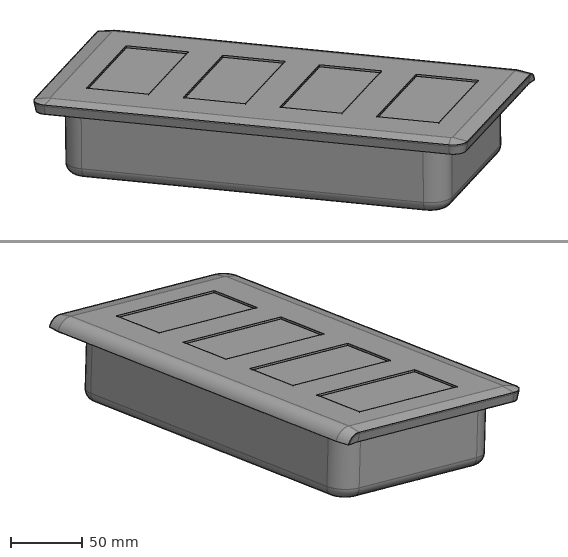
import cadquery as cq
import math

tilt_angle = 2.0

cover_width = 318.0
cover_length = 165.85
cover_thickness = 9.0
back_radius = 12.0
front_corner_radius = 10.5
front_corner_top_radius = 1.0

side_bevel_width = 11.2
front_bevel_width = 10.3
bevel_drop = 1.6
lip_height = 1.0
skirt_inset = 1.3

tub_width = 283.0
tub_length = 141.2
tub_depth = 50.0
tub_front_offset = 12.3
tub_corner_radius = 16.0
tub_bottom_radius = 8.0

window_count = 4
window_width = 45.6
window_length = 91.0
window_depth = 1.5
window_pitch = 71.0
window_front_offset = 37.2

half_width = cover_width / 2
lip_bottom = bevel_drop + lip_height
axis_to_underside = back_radius - cover_thickness
back_overhang = math.sqrt(back_radius**2 - axis_to_underside**2)
flat_end = cover_length - back_overhang


def cover_outline(depth, side_inset, front, radius):
    """Outline of the flat part of the cover at depth below the top, with round front corners."""
    side = half_width - side_inset
    corner_gap = radius * (1 - math.cos(math.pi / 4))
    return (
        cq.Workplane("XY", origin=(0, 0, -depth))
        .moveTo(-side, flat_end)
        .lineTo(-side, front + radius)
        .threePointArc((-side + corner_gap, front + corner_gap), (-side + radius, front))
        .lineTo(side - radius, front)
        .threePointArc((side - corner_gap, front + corner_gap), (side, front + radius))
        .lineTo(side, flat_end)
        .close()
        .val()
    )


def flat_cover():
    """Flat part of the cover: border slope, upright lip and tapering skirt stacked together."""
    top = cover_outline(0, side_bevel_width, front_bevel_width, front_corner_top_radius)
    lip_upper = cover_outline(bevel_drop, 0, 0, front_corner_radius)
    lip_lower = cover_outline(lip_bottom, 0, 0, front_corner_radius)
    skirt_radius = front_corner_radius - skirt_inset
    underside = cover_outline(cover_thickness, skirt_inset, skirt_inset, skirt_radius)
    outlines = [top, lip_upper, lip_lower, underside]

    cover = cq.Workplane()
    for upper, lower in zip(outlines, outlines[1:]):
        cover = cover.add(cq.Solid.makeLoft([lower, upper], True))
    return cover.combine()


def rounded_back():
    """The cover's cross-section swung about the axis of the back rounding, cut off level below."""
    half_section = [
        (half_width - side_bevel_width, 0),
        (half_width, -bevel_drop),
        (half_width, -lip_bottom),
        (half_width - skirt_inset, -cover_thickness),
        (half_width - skirt_inset, -back_radius),
    ]
    mirrored = [(-x, z) for x, z in reversed(half_section)]
    quarter_turn = 90
    swung = (
        cq.Workplane("XZ", origin=(0, flat_end, 0))
        .polyline(half_section + mirrored)
        .close()
        .revolve(quarter_turn, (1, -back_radius, 0), (0, -back_radius, 0))
    )
    keep = (
        cq.Workplane("XY", origin=(0, flat_end, -cover_thickness))
        .box(cover_width, back_radius, cover_thickness, centered=(True, False, False))
    )
    return swung.intersect(keep)


def tub():
    centre_y = tub_front_offset + tub_length / 2
    return (
        cq.Workplane("XY", origin=(0, centre_y, -cover_thickness))
        .rect(tub_width, tub_length)
        .extrude(-tub_depth)
        .edges("|Z")
        .fillet(tub_corner_radius)
        .faces("<Z")
        .edges()
        .fillet(tub_bottom_radius)
    )


def windows():
    centre_y = window_front_offset + window_length / 2
    return (
        cq.Workplane("XY", origin=(0, centre_y, 0))
        .rarray(window_pitch, 1, window_count, 1)
        .rect(window_width, window_length)
        .extrude(-window_depth)
    )


level_part = flat_cover().union(rounded_back()).union(tub()).cut(windows())
result = level_part.rotate((0, 0, 0), (1, 0, 0), tilt_angle)